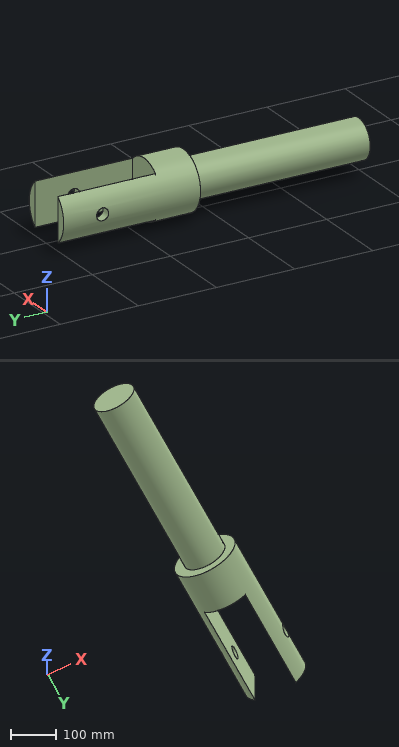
import cadquery as cq

total_length = 800.0
head_diameter = 150.0
head_length = 350.0
rod_diameter = 100.0
slot_width = rod_diameter
slot_depth = 250.0
pin_hole_diameter = 30.0
pin_hole_from_tip = 100.0

rod_length = total_length - head_length


def cylinder_along_y(diameter, start_y, length):
    """Cylinder on the Y axis, running from start_y towards +Y."""
    base = cq.Workplane("XZ").workplane(offset=-start_y)
    return base.circle(diameter / 2).extrude(-length)


rod = cylinder_along_y(rod_diameter, 0, rod_length)
head = cylinder_along_y(head_diameter, rod_length, head_length)

slot = (
    cq.Workplane("XY")
    .box(slot_width, slot_depth, head_diameter)
    .translate((0, total_length - slot_depth / 2, 0))
)

pin_hole = (
    cq.Workplane("YZ")
    .center(total_length - pin_hole_from_tip, 0)
    .circle(pin_hole_diameter / 2)
    .extrude(head_diameter, both=True)
)

result = rod.union(head).cut(slot).cut(pin_hole)